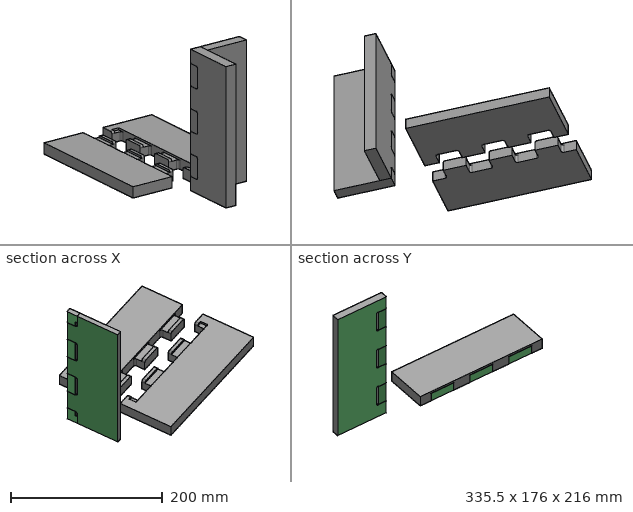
import cadquery as cq


overall_x = 335.5
board_length = 200.0
board_width = 80.0
thickness = 16.0
flat_gap = thickness
joint_y = 53.0
joint_x = overall_x - board_width

finger_length = thickness
end_tail_width = 20.0
pin_count = 3
inner_tail_count = pin_count - 1
inner_span = board_length - 2 * end_tail_width
finger_width = inner_span / (pin_count + inner_tail_count)
finger_pitch = 2 * finger_width
body_width = board_width - finger_length

corner_radius = 3.0
channel_depth = corner_radius
tip_rib = 5.0
channel_width = finger_length - tip_rib
channel_overrun = 6.7
channel_length = inner_span + 2 * channel_overrun


def block(length, y_start, width, x_center=0):
    """Block of board thickness, centred on x_center and starting at y_start."""
    return (
        cq.Workplane()
        .box(length, width, thickness, centered=(True, False, False))
        .translate((x_center, y_start, 0))
    )


def row_centers(count):
    """Centres of a row of fingers that is symmetric about x = 0."""
    return [(i - (count - 1) / 2) * finger_pitch for i in range(count)]


def edge_box(y_center, z_center, z_tolerance):
    """Selects edges by centre, away from the two ends of the board."""
    half_span = (board_length - end_tail_width) / 2
    y_tolerance = finger_length / 4
    return cq.selectors.BoxSelector(
        (-half_span, y_center - y_tolerance, z_center - z_tolerance),
        (half_span, y_center + y_tolerance, z_center + z_tolerance),
    )


def finish_fingers(board):
    """Round the inner finger edges, cut the relief channel and fillet the finger roots.

    The shoulder between body and fingers is at y = 0 and the inner face is the top.
    """
    top_edges = edge_box(finger_length / 2, thickness, channel_depth / 2)
    board = board.edges("|Y").edges(top_edges).fillet(corner_radius)

    channel = block(channel_length, 0, channel_width).translate((0, 0, thickness - channel_depth))
    board = board.cut(channel)

    root_edges = edge_box(0, thickness / 2, thickness / 4)
    return board.edges("|Z").edges(root_edges).fillet(corner_radius)


def pin_board():
    """Board with three pins on its +Y side."""
    board = block(board_length, -body_width, body_width)
    for x in row_centers(pin_count):
        board = board.union(block(finger_width, 0, finger_length, x))
    return finish_fingers(board)


def tail_board():
    """Board with two inner tails and two end tails, separated by sockets for the pins."""
    board = block(board_length, -body_width, board_width)
    for x in row_centers(pin_count):
        board = board.cut(block(finger_width, 0, finger_length, x))
    return finish_fingers(board)


flat_x = board_length / 2
joint_z = thickness + board_length / 2

pin_places = [
    cq.Plane(origin=(flat_x, body_width, 0), xDir=(1, 0, 0), normal=(0, 0, 1)),
    cq.Plane(origin=(joint_x, joint_y + finger_length, joint_z), xDir=(0, 0, 1), normal=(1, 0, 0)),
]
tail_shoulder_y = board_width + flat_gap + finger_length
tail_places = [
    cq.Plane(origin=(flat_x, tail_shoulder_y, 0), xDir=(-1, 0, 0), normal=(0, 0, 1)),
    cq.Plane(origin=(joint_x + finger_length, joint_y, joint_z), xDir=(0, 0, -1), normal=(0, 1, 0)),
]

pin_solid = pin_board().solids().val()
pin_boards = [pin_solid.moved(cq.Location(place)) for place in pin_places]

tail_solid = tail_board().solids().val()
tail_boards = [tail_solid.moved(cq.Location(place)) for place in tail_places]

result = cq.Compound.makeCompound([*pin_boards, *tail_boards])